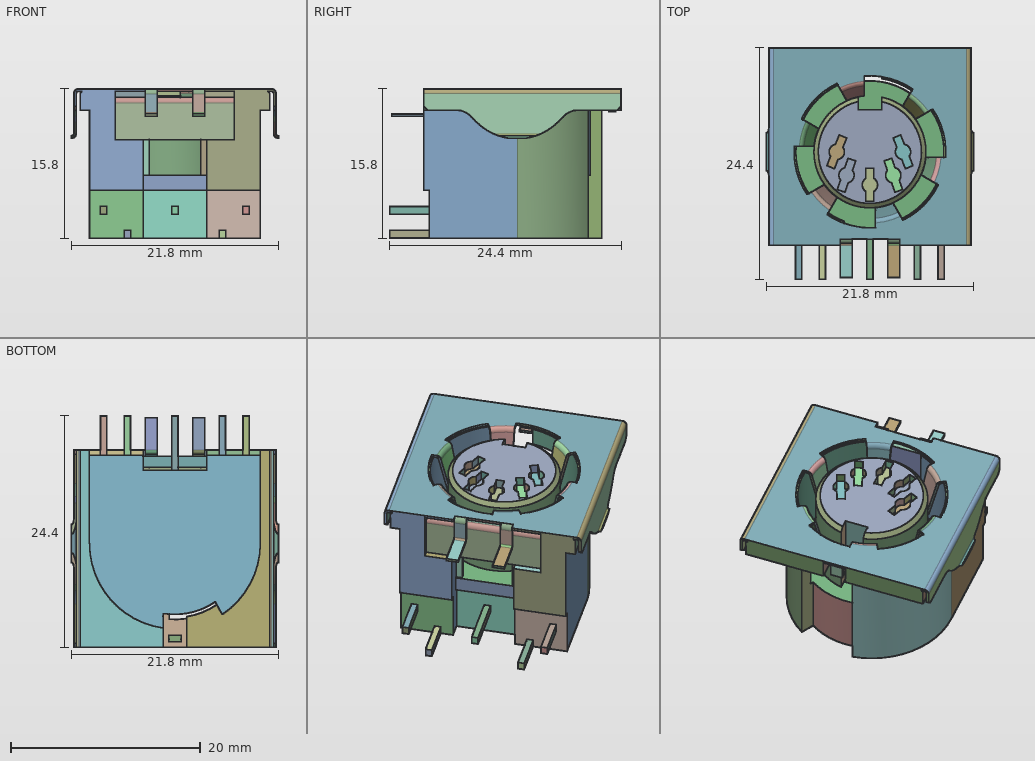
import cadquery as cq
import math


overall_height = 15.75
sheet = 0.27
body_top = overall_height - sheet
front_y = -9.85
back_y = 10.95
pin_end_y = -13.43
pin_span = 10.0
pin_pitch = pin_span / 4
diagonal = math.sqrt(0.5)

body_radius = 9.0
collar_half_width = 10.0
collar_bottom = 13.48
collar_chamfer = 0.2
lower_step_height = 5.07
lower_step_depth = 0.55

cavity_radius = 7.8
cavity_floor = 6.65
boss_radius = 5.9
boss_chamfer = 0.46
key_half_width = 1.25
key_inner_y = 4.44

contact_ring_radius = 3.49
contact_hole_radius = 0.8
contact_slot = (0.85, 3.49)
contact_depth = 1.0
contacts = [(180, -22), (225, -19), (270, 0), (315, 19), (0, 22)]

recess_half_width = 6.27
recess_floor_y = -9.2
recess_bottom = 10.4
recess_lip_height = 14.85
recess_lip_radius = 0.54
lip_gap_y = -7.44
slot_half_width = 3.35
slot_wall_y = -7.85
slot_upper_face_y = -8.02
slot_lower_face_y = -7.7
window_half_width = 2.7

floor_edge_radius = 7.48
rear_petal = 1

shell_half_width = 10.65
shell_bend = 0.49
shell_hole_radius = 7.48
petal_radius = 8.0
petal_offset = 0.59
petal_angle = 30
petal_count = 6
skirt_bottom = 13.48
skirt_corner = 0.45
lobe_bottom = 10.48
lobe_radius = 6.1
lobe_blend_radius = 1.95
skirt_slope = 45
foot_half_width = 10.92
foot_bend_z = 11.05
foot_bend_radius = 0.22

spring_roll = 0.49
spring_tip_radius = 6.2
spring_tip_z = 10.97

tab_width = 1.3
tab_bend = 0.54
tab_foot_bend = 0.2
tab_fold_y = -9.12
tab_end_y = -13.25
tab_foot_bottom = 12.85
rear_tab_outer_y = 10.35
rear_tab_inner_y = 9.65
rear_tab_bottom = 13.34

pin_width = 0.68
pin_height = 0.83
upper_pin_z = 2.95
pin_root_y = -6.83


def box(x0, x1, y0, y1, z0, z1):
    """Box between two opposite corners."""
    return cq.Workplane("XY").box(x1 - x0, y1 - y0, z1 - z0, centered=False).translate((x0, y0, z0))


def centred_box(half_width, y0, y1, z0, z1):
    """Box symmetric about X = 0."""
    return box(-half_width, half_width, y0, y1, z0, z1)


def cylinder(radius, z0, z1):
    """Cylinder on the socket axis."""
    return cq.Workplane("XY").workplane(offset=z0).circle(radius).extrude(z1 - z0)


def wedge(angle, spread, offset, reach, z0, z1):
    """Sector prism whose sides lie `offset` outside a sector of `spread` degrees centred on `angle`."""
    half = math.radians(spread / 2)
    apex = -offset / math.sin(half)
    half_opening = (reach - apex) * math.tan(half)
    return (cq.Workplane("XY").workplane(offset=z0)
            .polyline([(apex, 0), (reach, -half_opening), (reach, half_opening)]).close()
            .extrude(z1 - z0).rotate((0, 0, 0), (0, 0, 1), angle))


def petal_wedge(index, reach, z0, z1):
    """Wedge covering one wide opening of the shell hole."""
    angle = petal_angle / 2 + index * 360 / petal_count
    return wedge(angle, petal_angle, petal_offset, reach, z0, z1)


def make_body():
    outline = (cq.Workplane("XY").moveTo(-body_radius, front_y).lineTo(body_radius, front_y)
               .lineTo(body_radius, 0).threePointArc((0, body_radius), (-body_radius, 0))
               .close().extrude(body_top))
    collar = (centred_box(collar_half_width, front_y, back_y, collar_bottom, body_top)
              .edges("|Y and >Z").chamfer(collar_chamfer))
    step = centred_box(body_radius, front_y, front_y + lower_step_depth, 0, lower_step_height)
    return outline.union(collar).cut(step)


def make_boss():
    boss = cylinder(boss_radius, cavity_floor, body_top).faces(">Z").chamfer(boss_chamfer)
    boss = boss.cut(centred_box(key_half_width, key_inner_y, boss_radius, cavity_floor, body_top))
    for angle, tilt in contacts:
        x = contact_ring_radius * math.cos(math.radians(angle))
        y = contact_ring_radius * math.sin(math.radians(angle))
        start = cq.Workplane("XY").workplane(offset=body_top - contact_depth)
        opening = (start.circle(contact_hole_radius).extrude(contact_depth)
                   .union(start.rect(*contact_slot).extrude(contact_depth)))
        boss = boss.cut(opening.rotate((0, 0, 0), (0, 0, 1), tilt).translate((x, y, 0)))
    return boss


def cut_front(body):
    recess = centred_box(recess_half_width, front_y, recess_floor_y, recess_bottom, body_top)
    gap = centred_box(recess_half_width, recess_floor_y, lip_gap_y, recess_lip_height, body_top)
    edge = centred_box(recess_half_width, recess_floor_y, recess_floor_y + recess_lip_radius,
                       recess_lip_height - recess_lip_radius, recess_lip_height)
    roll = (cq.Workplane("YZ")
            .center(recess_floor_y + recess_lip_radius, recess_lip_height - recess_lip_radius)
            .circle(recess_lip_radius).extrude(recess_half_width, both=True))
    body = body.cut(recess).cut(gap).cut(edge.cut(roll))

    for face_y, z0, z1 in [(slot_lower_face_y, 0, lower_step_height),
                           (slot_upper_face_y, lower_step_height, cavity_floor),
                           (slot_wall_y, cavity_floor, recess_bottom)]:
        body = body.cut(centred_box(slot_half_width, front_y, face_y, z0, z1))
    window = centred_box(window_half_width, slot_upper_face_y, -boss_radius, cavity_floor, body_top)
    return body.cut(window)


def cut_rear(body):
    notch = centred_box(key_half_width, boss_radius, back_y, collar_bottom, body_top)
    opening = petal_wedge(rear_petal, 2 * body_radius, 0, collar_bottom)
    opening = opening.union(box(-key_half_width, 0, boss_radius, back_y, 0, collar_bottom))
    return body.cut(notch).cut(opening.cut(cylinder(floor_edge_radius, 0, collar_bottom)))


def make_shell_section():
    """Plate and both skirts as one bent sheet, running along Y."""
    inner = shell_half_width - sheet
    bend_centre_x = shell_half_width + foot_bend_radius
    inner_foot_radius = foot_bend_radius + sheet
    top_centre = (shell_half_width - shell_bend, overall_height - shell_bend)
    inner_bend = shell_bend - sheet

    def around(centre, radius, across, up):
        return (centre[0] + across * radius * diagonal, centre[1] + up * radius * diagonal)

    foot_centre = (bend_centre_x, foot_bend_z)
    half = (cq.Workplane("XZ", origin=(0, back_y, 0))
            .moveTo(0, overall_height).lineTo(top_centre[0], overall_height)
            .threePointArc(around(top_centre, shell_bend, 1, 1), (shell_half_width, top_centre[1]))
            .lineTo(shell_half_width, foot_bend_z)
            .threePointArc(around(foot_centre, foot_bend_radius, -1, -1),
                           (bend_centre_x, foot_bend_z - foot_bend_radius))
            .lineTo(foot_half_width, foot_bend_z - foot_bend_radius)
            .lineTo(foot_half_width, foot_bend_z - inner_foot_radius)
            .lineTo(bend_centre_x, foot_bend_z - inner_foot_radius)
            .threePointArc(around(foot_centre, inner_foot_radius, -1, -1), (inner, foot_bend_z))
            .lineTo(inner, top_centre[1])
            .threePointArc(around(top_centre, inner_bend, 1, 1), (top_centre[0], body_top))
            .lineTo(0, body_top).close().extrude(back_y - front_y))
    return half.union(half.mirror("YZ"))


def make_skirt_outline():
    """Side profile of the skirts: straight edge with a rounded lobe at the middle."""
    slope = math.radians(skirt_slope)
    across = math.sin(slope)
    drop = 1 - math.cos(slope)
    lobe_y = lobe_radius * across
    lobe_z = lobe_bottom + lobe_radius * drop
    blend_z = skirt_bottom - lobe_blend_radius * drop
    blend_y = lobe_y + (blend_z - lobe_z) / math.tan(slope)
    flat_y = blend_y + lobe_blend_radius * across
    mid_y = flat_y - lobe_blend_radius * math.sin(slope / 2)
    mid_z = skirt_bottom - lobe_blend_radius * (1 - math.cos(slope / 2))
    return (cq.Workplane("YZ").moveTo(front_y, overall_height)
            .lineTo(front_y, skirt_bottom + skirt_corner)
            .lineTo(front_y + skirt_corner, skirt_bottom)
            .lineTo(-flat_y, skirt_bottom)
            .threePointArc((-mid_y, mid_z), (-blend_y, blend_z))
            .lineTo(-lobe_y, lobe_z)
            .threePointArc((0, lobe_bottom), (lobe_y, lobe_z))
            .lineTo(blend_y, blend_z)
            .threePointArc((mid_y, mid_z), (flat_y, skirt_bottom))
            .lineTo(back_y - skirt_corner, skirt_bottom)
            .lineTo(back_y, skirt_bottom + skirt_corner)
            .lineTo(back_y, overall_height).close()
            .extrude(foot_half_width, both=True))


def make_springs():
    """Ring rolled down from the plate hole and tapering inwards, split by the petals."""
    roll_inner = spring_roll - sheet
    centre_z = overall_height - spring_roll
    wall_radius = shell_hole_radius - spring_roll
    ring = (cq.Workplane("XZ").moveTo(shell_hole_radius, overall_height)
            .threePointArc((shell_hole_radius - spring_roll * diagonal, centre_z + spring_roll * diagonal),
                           (wall_radius, centre_z))
            .lineTo(spring_tip_radius - sheet, spring_tip_z)
            .lineTo(spring_tip_radius, spring_tip_z)
            .lineTo(wall_radius + sheet, centre_z)
            .threePointArc((shell_hole_radius - roll_inner * diagonal, centre_z + roll_inner * diagonal),
                           (shell_hole_radius, body_top))
            .close().revolve(360, (0, 0, 0), (0, 1, 0)))
    for index in range(petal_count):
        ring = ring.cut(petal_wedge(index, 2 * petal_radius, spring_tip_z, overall_height))
    return ring


def make_front_tab(x):
    """Tab folded down from the plate edge, then out along -Y."""
    leg_y = tab_fold_y - tab_bend
    root_y = tab_fold_y + sheet
    foot_top = tab_foot_bottom + sheet
    outline = (cq.Workplane("YZ").polyline([
        (root_y, overall_height), (leg_y, overall_height), (leg_y, foot_top),
        (tab_end_y, foot_top), (tab_end_y, tab_foot_bottom), (leg_y + sheet, tab_foot_bottom),
        (leg_y + sheet, body_top), (root_y, body_top)]).close().extrude(tab_width))

    def round_edge(solid, y, z, radius):
        return solid.edges(cq.selectors.NearestToPointSelector((tab_width / 2, y, z))).fillet(radius)

    tab = round_edge(outline, leg_y, overall_height, tab_bend)
    tab = round_edge(tab, leg_y + sheet, body_top, tab_bend - sheet)
    tab = round_edge(tab, leg_y + sheet, tab_foot_bottom, tab_foot_bend + sheet)
    tab = round_edge(tab, leg_y, foot_top, tab_foot_bend)
    return tab.translate((x - tab_width / 2, 0, 0))


def make_shell():
    shell = make_shell_section().intersect(make_skirt_outline())
    shell = shell.cut(cylinder(shell_hole_radius, body_top, overall_height))
    petal_disc = cylinder(petal_radius, body_top, overall_height)
    for index in range(petal_count):
        opening = petal_wedge(index, 2 * petal_radius, body_top, overall_height)
        shell = shell.cut(opening.intersect(petal_disc))
    shell = shell.union(make_springs())

    tab_reach = pin_pitch + tab_width / 2
    shell = shell.cut(centred_box(tab_reach, front_y, recess_floor_y, body_top, overall_height))
    for side in (-1, 1):
        shell = shell.union(make_front_tab(side * pin_pitch))

    rear_leg = centred_box(tab_width / 2, rear_tab_outer_y - sheet, rear_tab_outer_y,
                           rear_tab_bottom, overall_height)
    rear_foot = centred_box(tab_width / 2, rear_tab_inner_y, rear_tab_outer_y,
                            rear_tab_bottom, rear_tab_bottom + sheet)
    return shell.union(rear_leg).union(rear_foot)


def make_pins():
    pins = cq.Workplane("XY")
    lower_pin_z = upper_pin_z - pin_pitch
    for steps, z in [(-3, upper_pin_z), (0, upper_pin_z), (3, upper_pin_z),
                     (-2, lower_pin_z), (2, lower_pin_z)]:
        x = steps * pin_pitch
        pins = pins.union(box(x - pin_width / 2, x + pin_width / 2, pin_end_y, pin_root_y,
                              z - pin_height / 2, z + pin_height / 2))
    return pins


body = make_body().cut(cylinder(cavity_radius, cavity_floor, body_top))
body = cut_rear(cut_front(body))
result = body.union(make_boss()).union(make_pins()).union(make_shell())